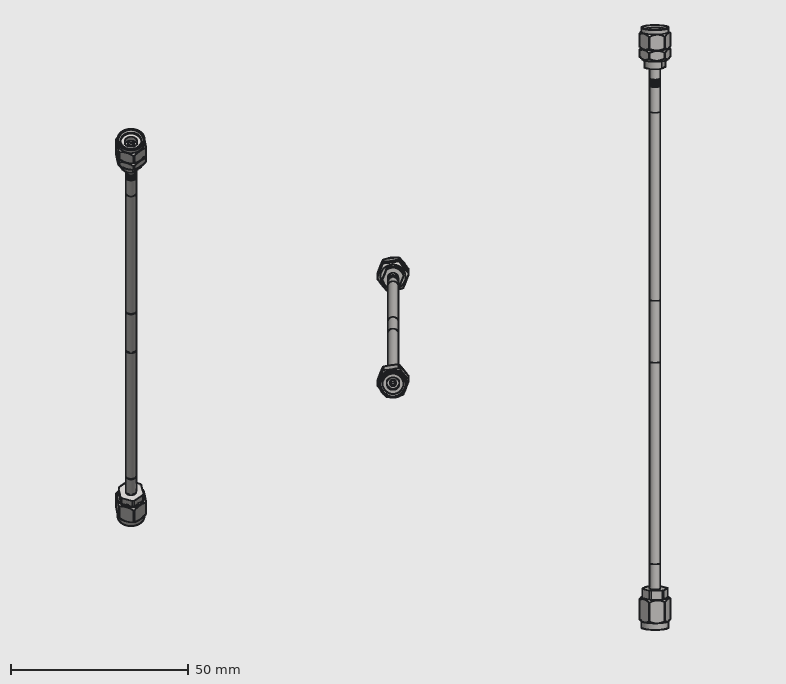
import cadquery as cq
import math


LENGTH = 172.5
BOTTOM_RIM_TOP = 1.9
BOTTOM_NUT_TOP = 8.6
BOTTOM_BODY_TOP = 11.2
SLEEVE_TOP = 18.5
LABEL_BOTTOM = 76.5
LABEL_TOP = 94.2
STEM_BOTTOM = 148.4
COLLAR_BOTTOM = 161.2
HEX_BOTTOM = 163.5
TOP_NUT_BOTTOM = 166.7
TOP_RIM_BOTTOM = 171.4

NUT_ACROSS_FLATS = 8.0
NUT_CORNER_CHAMFER = 0.25
RIM_DIAMETER = 7.8
NUT_CHAMFER_ANGLE = 45.0
BORE_DIAMETER = 5.9
MOUTH_CHAMFER = 0.5

SPIGOT_BORE_DIAMETER = 3.6
SPIGOT_RECESS = 1.0
SPIGOT_BORE_DEPTH = 1.7
PIN_DIAMETER = 1.7
PIN_TIP_DIAMETER = 0.9
PIN_TIP_LENGTH = 0.5

HEX_END_DIAMETER = 7.0
COLLAR_DIAMETER = 6.0
COLLAR_ACROSS_FLATS = 5.2
GROOVE_COUNT = 3
GROOVE_PITCH = 0.9
GROOVE_WIDTH = 0.43
GROOVE_DEPTH = 0.2
TOP_GROOVE_TOP = 157.9

BOTTOM_HEX_ACROSS_FLATS = 6.5
BOTTOM_HEX_CORNER_CHAMFER = 0.3

CABLE_DIAMETER = 3.1
CORE_DIAMETER = 2.5


def cylinder(diameter, bottom, top):
    return cq.Workplane("XY").workplane(offset=bottom).circle(diameter / 2).extrude(top - bottom)


def ring(outer_diameter, inner_diameter, bottom, top):
    return cylinder(outer_diameter, bottom, top).cut(cylinder(inner_diameter, bottom, top))


def cone(bottom_diameter, top_diameter, bottom, top):
    return (
        cq.Workplane("XY")
        .workplane(offset=bottom)
        .circle(bottom_diameter / 2)
        .workplane(offset=top - bottom)
        .circle(top_diameter / 2)
        .loft()
    )


def sharp_across_corners(across_flats):
    return across_flats / math.cos(math.pi / 6)


def hexagon(across_flats, corner_chamfer, bottom, top):
    """Hexagonal prism with flats facing +X and -X and its corners cut off flat."""
    return (
        cq.Workplane("XY")
        .workplane(offset=bottom)
        .transformed(rotate=(0, 0, 90))
        .polygon(6, sharp_across_corners(across_flats))
        .extrude(top - bottom)
        .edges("|Z")
        .chamfer(corner_chamfer)
    )


def chamfered_hexagon(bottom, top, bottom_diameter, top_diameter):
    """Nut-size hexagon whose corners taper to the given circles at its two ends."""
    corner_radius = (sharp_across_corners(NUT_ACROSS_FLATS) - NUT_CORNER_CHAMFER) / 2
    slope = math.tan(math.radians(NUT_CHAMFER_ANGLE))
    bottom_taper = (corner_radius - bottom_diameter / 2) * slope
    top_taper = (corner_radius - top_diameter / 2) * slope
    envelope = (
        cq.Workplane("XZ")
        .moveTo(0, bottom)
        .lineTo(bottom_diameter / 2, bottom)
        .lineTo(corner_radius, bottom + bottom_taper)
        .lineTo(corner_radius, top - top_taper)
        .lineTo(top_diameter / 2, top)
        .lineTo(0, top)
        .close()
        .revolve(360, (0, 0), (0, 1))
    )
    return hexagon(NUT_ACROSS_FLATS, NUT_CORNER_CHAMFER, bottom, top).intersect(envelope)


def upside_down(part, height):
    """Turn a part end for end, so that level 0 lands at the given height."""
    return part.rotate((0, 0, 0), (1, 0, 0), 180).translate((0, 0, height))


def coupling_nut(rim_length, nut_length):
    """Bored nut standing with its open rim end at level 0."""
    hex_part = chamfered_hexagon(rim_length, nut_length, RIM_DIAMETER, RIM_DIAMETER)
    nut = hex_part.union(cylinder(RIM_DIAMETER, 0, rim_length))
    mouth = cone(BORE_DIAMETER + 2 * MOUTH_CHAMFER, BORE_DIAMETER, 0, MOUTH_CHAMFER)
    return nut.cut(cylinder(BORE_DIAMETER, 0, nut_length)).cut(mouth)


def plug_core(nut_length):
    """Spigot that fills the nut bore, with a centre pin in its recess; open end towards level 0."""
    floor = SPIGOT_RECESS + SPIGOT_BORE_DEPTH
    tip_end = SPIGOT_RECESS + PIN_TIP_LENGTH
    spigot = cylinder(BORE_DIAMETER, SPIGOT_RECESS, nut_length)
    recess = cylinder(SPIGOT_BORE_DIAMETER, SPIGOT_RECESS, floor)
    pin = cylinder(PIN_DIAMETER, tip_end, floor)
    tip = cone(PIN_TIP_DIAMETER, PIN_DIAMETER, SPIGOT_RECESS, tip_end)
    return spigot.cut(recess).union(pin).union(tip)


def flatted_collar():
    height = HEX_BOTTOM - COLLAR_BOTTOM
    between_flats = (
        cq.Workplane("XY")
        .workplane(offset=COLLAR_BOTTOM)
        .rect(COLLAR_ACROSS_FLATS, COLLAR_DIAMETER)
        .extrude(height)
    )
    return cylinder(COLLAR_DIAMETER, COLLAR_BOTTOM, HEX_BOTTOM).intersect(between_flats)


def grooved_stem():
    stem = cylinder(CABLE_DIAMETER, STEM_BOTTOM, COLLAR_BOTTOM)
    for index in range(GROOVE_COUNT):
        groove_top = TOP_GROOVE_TOP - index * GROOVE_PITCH
        groove = ring(
            CABLE_DIAMETER, CABLE_DIAMETER - 2 * GROOVE_DEPTH, groove_top - GROOVE_WIDTH, groove_top
        )
        stem = stem.cut(groove)
    return stem


def top_body():
    body = chamfered_hexagon(HEX_BOTTOM, TOP_NUT_BOTTOM, HEX_END_DIAMETER, RIM_DIAMETER)
    core = upside_down(plug_core(LENGTH - TOP_NUT_BOTTOM), LENGTH)
    return body.union(core).union(flatted_collar()).union(grooved_stem())


def bottom_body():
    body = hexagon(
        BOTTOM_HEX_ACROSS_FLATS, BOTTOM_HEX_CORNER_CHAMFER, BOTTOM_NUT_TOP, BOTTOM_BODY_TOP
    )
    return body.union(plug_core(BOTTOM_NUT_TOP))


def cable_run():
    """Cable from the bottom body to the stem, thinned under the sleeve and the label."""
    cable = cylinder(CORE_DIAMETER, BOTTOM_BODY_TOP, STEM_BOTTOM)
    for bottom, top in ((SLEEVE_TOP, LABEL_BOTTOM), (LABEL_TOP, STEM_BOTTOM)):
        cable = cable.union(cylinder(CABLE_DIAMETER, bottom, top))
    return cable


top_nut = upside_down(coupling_nut(LENGTH - TOP_RIM_BOTTOM, LENGTH - TOP_NUT_BOTTOM), LENGTH)
top_connector = top_body()
cable = cable_run()
label = ring(CABLE_DIAMETER, CORE_DIAMETER, LABEL_BOTTOM, LABEL_TOP)
sleeve = ring(CABLE_DIAMETER, CORE_DIAMETER, BOTTOM_BODY_TOP, SLEEVE_TOP)
bottom_connector = bottom_body()
bottom_nut = coupling_nut(BOTTOM_RIM_TOP, BOTTOM_NUT_TOP)

result = cq.Compound.makeCompound(
    [
        top_nut.val(),
        top_connector.val(),
        cable.val(),
        label.val(),
        sleeve.val(),
        bottom_connector.val(),
        bottom_nut.val(),
    ]
)